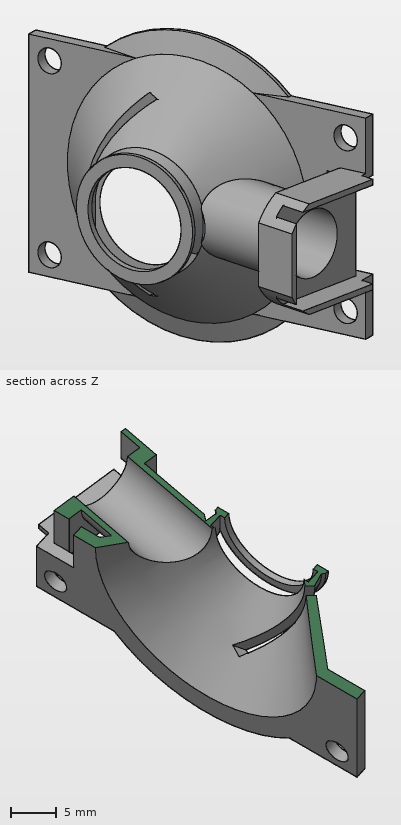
import cadquery as cq
import math


plate_thickness = 1.5
plate_left = -20.5
plate_right = 23.0
left_height = 28.0
right_height = 26.0
hole_diameter = 3.0
left_hole = (-17.8, 11.4)
right_hole = (20.4, 10.15)

flange_radius = 18.0
flange_rim = 0.5
funnel_back_radius = 15.5
funnel_front_radius = 7.5
funnel_front = -10.0
cavity_back_radius = 15.0
aperture_radius = 6.0

neck_front = -11.7
neck_front_radius = 7.15
lip_flare = 0.3
lip_front = -12.5
lip_radius = funnel_front_radius
disc_slot_width = 13.2

slit_angle = 35.0
slit_thickness = 1.24
slit_radius = 12.9
slit_center = -7.8
slit_axis_y = -3.83

tube_angle = 11.0
tube_diameter = 9.5
bore_diameter = 8.0
tube_axis_y = -4.41
box_end = 23.78
box_length = 5.0
box_width = 13.0
box_round_diameter = 15.0
box_wall = 0.7
pocket_depth = 3.0
tube_start = 5.0
bore_start = 3.0
clearance_radius = 7.25
clearance_depth = 3.0

link_left = 19.7
link_depth = 2.0
notch_left = 18.0

pocket_width = box_width - 2 * box_wall
box_start = box_end - box_length
pocket_floor = box_end - pocket_depth


def block(x_range, y_range, z_range):
    """Axis-aligned box given by its limits."""
    (x0, x1), (y0, y1), (z0, z1) = x_range, y_range, z_range
    return cq.Workplane("XY").box(x1 - x0, y1 - y0, z1 - z0, centered=False).translate((x0, y0, z0))


def revolved(profile):
    """Revolve a closed (radius, y) profile about the funnel axis."""
    return cq.Workplane("XY").polyline(profile).close().revolve(360, (0, 0, 0), (0, 1, 0))


def tube_plane(distance):
    """Plane across the tube: local x points along the plate-ward cross direction, local y along Z."""
    tilt = math.radians(tube_angle)
    along = (math.cos(tilt), -math.sin(tilt), 0)
    across = (math.sin(tilt), math.cos(tilt), 0)
    origin = (along[0] * distance, tube_axis_y + along[1] * distance, 0)
    return cq.Workplane(cq.Plane(origin=origin, xDir=across, normal=along))


def make_plate():
    left = block((plate_left, 0), (-plate_thickness, 0), (-left_height / 2, left_height / 2))
    right = block((0, plate_right), (-plate_thickness, 0), (-right_height / 2, right_height / 2))
    return left.union(right)


def make_funnel():
    return revolved([
        (0, 0),
        (flange_radius, 0),
        (flange_radius, -flange_rim),
        (funnel_back_radius, -plate_thickness),
        (funnel_front_radius, funnel_front),
        (0, funnel_front),
    ])


def make_neck():
    return revolved([
        (0, funnel_front),
        (funnel_front_radius, funnel_front),
        (neck_front_radius, neck_front),
        (lip_radius, neck_front - lip_flare),
        (lip_radius, lip_front),
        (0, lip_front),
    ])


def make_tube():
    tube = tube_plane(tube_start).circle(tube_diameter / 2).extrude(box_start - tube_start)
    clearance = revolved([
        (0, funnel_front),
        (clearance_radius, funnel_front),
        (clearance_radius + clearance_depth, funnel_front - clearance_depth),
        (0, funnel_front - clearance_depth),
    ])
    return tube.cut(clearance)


def make_box():
    """Square box whose two front corners follow a circle, plus the link to the plate."""
    half = box_width / 2
    corner = math.sqrt((box_round_diameter / 2) ** 2 - half ** 2)
    diagonal = box_round_diameter / 2 * math.sqrt(0.5)
    box = (
        tube_plane(box_start)
        .moveTo(half, -half)
        .lineTo(half, half)
        .lineTo(-corner, half)
        .threePointArc((-diagonal, diagonal), (-half, corner))
        .lineTo(-half, -corner)
        .threePointArc((-diagonal, -diagonal), (-corner, -half))
        .close()
        .extrude(box_length)
    )
    link = block(
        (link_left, plate_right),
        (-plate_thickness - link_depth, -plate_thickness),
        (-half, half),
    )
    return box.union(link)


def make_cavity():
    """Conical inside of the funnel and the round aperture through the lip."""
    return revolved([
        (0, 0),
        (cavity_back_radius, 0),
        (aperture_radius, funnel_front),
        (aperture_radius, lip_front),
        (0, lip_front),
    ])


def make_disc_slot():
    """Round-topped slot for a disc pushed in from below."""
    depth = funnel_front - neck_front
    radius = disc_slot_width / 2
    seat = cq.Workplane("XZ", origin=(0, funnel_front, 0)).circle(radius).extrude(depth)
    entry = block((-radius, radius), (neck_front, funnel_front), (-2 * radius, 0))
    return seat.union(entry)


def make_slit():
    """Slit for a disc pushed in obliquely from the -X side: a round seat and a straight entry."""
    seat = (
        cq.Workplane("XZ", origin=(slit_center, slit_thickness / 2, 0))
        .circle(slit_radius)
        .extrude(slit_thickness)
    )
    entry = block(
        (slit_center - slit_radius, slit_center),
        (-slit_thickness / 2, slit_thickness / 2),
        (-slit_radius, slit_radius),
    )
    slit = seat.union(entry)
    return slit.rotate((0, 0, 0), (0, 0, 1), slit_angle).translate((0, slit_axis_y, 0))


def make_bore():
    return tube_plane(bore_start).circle(bore_diameter / 2).extrude(box_end - bore_start)


def make_pocket():
    """Recess in the box, open at its far end and toward the plate."""
    reach = 2 * box_width
    return (
        tube_plane(pocket_floor)
        .center((reach - pocket_width) / 2, 0)
        .rect(reach, pocket_width)
        .extrude(2 * pocket_depth)
    )


def make_notch():
    half = pocket_width / 2
    return block((notch_left, plate_right), (-plate_thickness, 0), (-half, half))


def make_screw_holes():
    points = [(x, side * z) for x, z in (left_hole, right_hole) for side in (-1, 1)]
    return cq.Workplane("XZ").pushPoints(points).circle(hole_diameter / 2).extrude(plate_thickness)


funnel = make_funnel().union(make_neck()).cut(make_slit())
result = (
    make_plate()
    .union(funnel)
    .union(make_tube())
    .union(make_box())
    .cut(make_cavity())
    .cut(make_disc_slot())
    .cut(make_bore())
    .cut(make_pocket())
    .cut(make_notch())
    .cut(make_screw_holes())
)